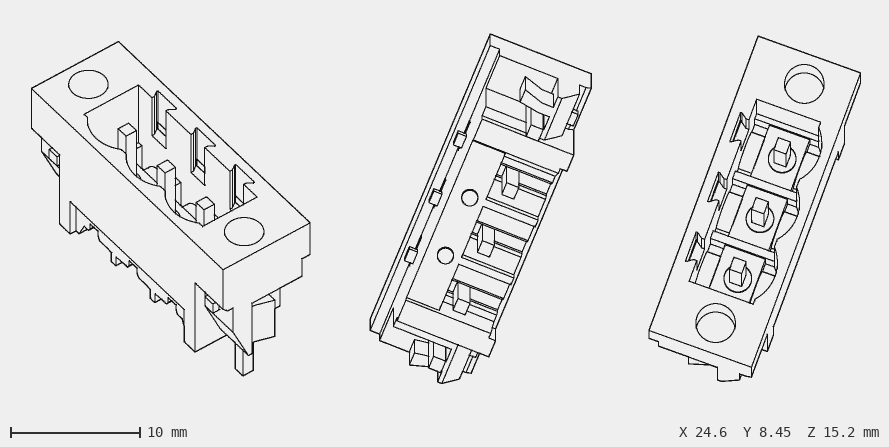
import cadquery as cq


LENGTH = 24.6
DEPTH = 8.45
HEIGHT = 15.2

PITCH = 5.0
PIN_SIZE = 1.0
PIN_Y = 3.8
CONTACT_TOP = HEIGHT - 0.93
CONTACT_XS = [-PITCH, 0, PITCH]
ANCHOR_X = 2 * PITCH
SIDES = [-1, 1]

HOUSING_BOTTOM = 3.2
CENTRE_HALF = 8.7
LOWER_BACK_Y = 7.65
OVERHANG_Z = 11.7

END_BOTTOM = 4.23
END_BOTTOM_FRONT_Y = 2.45
END_FRONT_Y = 0.98
END_SLOPE_TOP = 7.68
END_UNDERCUT_TOP = 10.38
UNDERCUT_CHAMFER = 0.45

RECESS_FRONT_Y = 2.8
RECESS_TOP = 9.8
RECESS_FLOOR_X = ANCHOR_X - PIN_SIZE / 2
FINGER_TOP = 8.25
FINGER_BEND_Y = 3.75
FINGER_TIP_Y = 5.35
FINGER_TIP_OUTER_X = 11.88
FINGER_TIP_INNER_X = 10.82
FINGER_ROOT_OUTER_X = 11.4
FINGER_ROOT_INNER_X = 10.58

ANCHOR_TOP = 9.72
ANCHOR_FRONT_Y = 0.37

HOLE_DIAMETER = 3.05
HOLE_DEPTH = 3.7

CAVITY_HALF = 7.6
CAVITY_FRONT_Y = 1.57
CAVITY_BACK_Y = 6.85
CAVITY_FLOOR = 8.85
CELL_WIDTH = 4.35
CELL_FLOOR = 6.4
SCALLOP_FRONT_Y = 0.75
SADDLE_DIAMETER = 3.03
SEAT_FRONT_Y = 2.31
SEAT_BACK_Y = 5.63
SEAT_TOP = 8.36
COLLAR_DIAMETER = 2.15
COLLAR_HEIGHT = 0.25

SLOT_BOTTOM = 11.02
SLOT_NECK_HALF = 0.89
SLOT_WIDE_HALF = 1.2
SLOT_NECK_END_Y = 7.08
SLOT_FLARE_END_Y = 7.53

PEG_WIDTH = 1.0
PEG_BOTTOM = 9.18
PEG_HEIGHT = 0.75
PEG_LENGTH = 0.7

SHALLOW_HALF = 7.3
SHALLOW_TOP = 6.76
SHALLOW_DEPTH = 0.57
UNDERSIDE_Z = 3.5
CHANNEL_TOP = 4.55
CHANNEL_BACK_Y = 4.92
CHANNEL_BOTTOM_HALF = 6.91
CHANNEL_TOP_HALF = 6.27
NOTCH_TOP = 5.44
NOTCH_HALF = PIN_SIZE / 2
NOTCH_FLARE_Z = 4.9
NOTCH_FLARE_HALF = 0.71
RIB_HALF = 0.3
RIB_ROOT_HALF = 0.71
RIB_ROOT_DROP = 0.1
FOOT_DIAMETER = 1.25
FOOT_Y = 6.15
RIB_XS = [-PITCH / 2, PITCH / 2]


def box(x0, x1, y0, y1, z0, z1):
    """Box between two opposite corners."""
    return cq.Workplane("XY").box(x1 - x0, y1 - y0, z1 - z0, centered=False).translate((x0, y0, z0))


def square_post(x, z0, z1):
    """Upright square bar in the pin row."""
    half = PIN_SIZE / 2
    return box(x - half, x + half, PIN_Y - half, PIN_Y + half, z0, z1)


def front_prism(points, y0, y1):
    """Outline in X and Z, extruded from y0 back to y1."""
    return cq.Workplane("XZ", origin=(0, y0, 0)).polyline(points).close().extrude(y0 - y1)


def outer_shape():
    """Full-depth upper block, centre block and the two end blocks."""
    side_profile = [
        (0, HEIGHT),
        (0, END_UNDERCUT_TOP + UNDERCUT_CHAMFER),
        (UNDERCUT_CHAMFER, END_UNDERCUT_TOP),
        (END_FRONT_Y, END_UNDERCUT_TOP),
        (END_FRONT_Y, END_SLOPE_TOP),
        (END_BOTTOM_FRONT_Y, END_BOTTOM),
        (LOWER_BACK_Y, END_BOTTOM),
        (LOWER_BACK_Y, OVERHANG_Z),
        (DEPTH, OVERHANG_Z),
        (DEPTH, HEIGHT),
    ]
    ends = cq.Workplane("YZ", origin=(-LENGTH / 2, 0, 0)).polyline(side_profile).close().extrude(LENGTH)
    centre = box(-CENTRE_HALF, CENTRE_HALF, 0, LOWER_BACK_Y, HOUSING_BOTTOM, HEIGHT)
    return ends.union(centre)


def side_recess(side):
    """Pocket in an end face, open to the back and below."""
    x0, x1 = sorted([side * RECESS_FLOOR_X, side * LENGTH / 2])
    return box(x0, x1, RECESS_FRONT_Y, LOWER_BACK_Y, END_BOTTOM, RECESS_TOP)


def finger(side):
    """Cranked finger that stands back from the front wall of a side recess."""
    outline = [
        (side * FINGER_ROOT_OUTER_X, RECESS_FRONT_Y),
        (side * FINGER_ROOT_OUTER_X, FINGER_BEND_Y),
        (side * FINGER_TIP_OUTER_X, FINGER_TIP_Y),
        (side * FINGER_TIP_INNER_X, FINGER_TIP_Y),
        (side * FINGER_ROOT_INNER_X, FINGER_BEND_Y),
        (side * FINGER_ROOT_INNER_X, RECESS_FRONT_Y),
    ]
    base = cq.Workplane("XY", origin=(0, 0, END_BOTTOM))
    return base.polyline(outline).close().extrude(FINGER_TOP - END_BOTTOM)


def mounting_holes():
    centres = [(side * ANCHOR_X, PIN_Y) for side in SIDES]
    base = cq.Workplane("XY", origin=(0, 0, HEIGHT - HOLE_DEPTH))
    return base.pushPoints(centres).circle(HOLE_DIAMETER / 2).extrude(HOLE_DEPTH)


def cell_outline(x, floor_z):
    """Cell with a scalloped front, from floor_z up to the top face."""
    half = CELL_WIDTH / 2
    return (
        cq.Workplane("XY", origin=(x, 0, floor_z))
        .moveTo(-half, CAVITY_BACK_Y)
        .lineTo(-half, CAVITY_FRONT_Y)
        .threePointArc((0, SCALLOP_FRONT_Y), (half, CAVITY_FRONT_Y))
        .lineTo(half, CAVITY_BACK_Y)
        .close()
        .extrude(HEIGHT - floor_z)
    )


def cell_floor(x):
    """Rounded saddle along Y, crossed by a raised seat with a collar around the contact."""
    half = CELL_WIDTH / 2
    saddle = (
        cq.Workplane("XZ", origin=(x, 0, CELL_FLOOR))
        .circle(SADDLE_DIAMETER / 2)
        .extrude(-CAVITY_BACK_Y)
    )
    seat = box(x - half, x + half, SEAT_FRONT_Y, SEAT_BACK_Y, CELL_FLOOR, SEAT_TOP)
    collar = (
        cq.Workplane("XY", origin=(x, PIN_Y, SEAT_TOP))
        .circle(COLLAR_DIAMETER / 2)
        .extrude(COLLAR_HEIGHT)
    )
    return saddle.union(seat).union(collar)


def mating_cavity():
    cavity = box(-CAVITY_HALF, CAVITY_HALF, CAVITY_FRONT_Y, CAVITY_BACK_Y, CAVITY_FLOOR, HEIGHT)
    for x in CONTACT_XS:
        cavity = cavity.union(cell_outline(x, CELL_FLOOR).cut(cell_floor(x)))
    return cavity


def coding_slot(x):
    """Dovetail slot that breaks out of the lower back face below the overhang."""
    right_side = [
        (SLOT_NECK_HALF, CAVITY_BACK_Y),
        (SLOT_NECK_HALF, SLOT_NECK_END_Y),
        (SLOT_WIDE_HALF, SLOT_FLARE_END_Y),
        (SLOT_WIDE_HALF, LOWER_BACK_Y),
    ]
    left_side = [(-px, py) for px, py in reversed(right_side)]
    base = cq.Workplane("XY", origin=(x, 0, SLOT_BOTTOM))
    return base.polyline(right_side + left_side).close().extrude(HEIGHT - SLOT_BOTTOM)


def back_peg(x):
    half = PEG_WIDTH / 2
    back_y = LOWER_BACK_Y + PEG_LENGTH
    return box(x - half, x + half, LOWER_BACK_Y, back_y, PEG_BOTTOM, PEG_BOTTOM + PEG_HEIGHT)


def rib(x):
    """Rib between two contact channels, widening slightly at its root."""
    root_z = CHANNEL_TOP - RIB_ROOT_DROP
    right_side = [(RIB_HALF, UNDERSIDE_Z), (RIB_HALF, root_z), (RIB_ROOT_HALF, CHANNEL_TOP)]
    left_side = [(-px, pz) for px, pz in reversed(right_side)]
    outline = [(x + px, pz) for px, pz in right_side + left_side]
    return front_prism(outline, 0, CHANNEL_BACK_Y)


def pin_notch(x):
    """Notch in the channel roof at a contact, flared at its mouth."""
    right_side = [
        (NOTCH_FLARE_HALF, CHANNEL_TOP),
        (NOTCH_HALF, NOTCH_FLARE_Z),
        (NOTCH_HALF, NOTCH_TOP),
    ]
    left_side = [(-px, pz) for px, pz in reversed(right_side)]
    outline = [(x + px, pz) for px, pz in right_side + left_side]
    return front_prism(outline, 0, CHANNEL_BACK_Y)


def underside_relief():
    """Shallow front recess, contact channels and the standoff gap between the side legs."""
    shallow = box(-SHALLOW_HALF, SHALLOW_HALF, 0, SHALLOW_DEPTH, HOUSING_BOTTOM, SHALLOW_TOP)
    channel_outline = [
        (-CHANNEL_BOTTOM_HALF, HOUSING_BOTTOM),
        (-CHANNEL_TOP_HALF, CHANNEL_TOP),
        (CHANNEL_TOP_HALF, CHANNEL_TOP),
        (CHANNEL_BOTTOM_HALF, HOUSING_BOTTOM),
    ]
    channels = front_prism(channel_outline, 0, CHANNEL_BACK_Y)
    for x in RIB_XS:
        channels = channels.cut(rib(x))
    for x in CONTACT_XS:
        channels = channels.union(pin_notch(x))
    gap_height = box(-CENTRE_HALF, CENTRE_HALF, 0, LOWER_BACK_Y, HOUSING_BOTTOM, UNDERSIDE_Z)
    gap = front_prism(channel_outline, 0, LOWER_BACK_Y).intersect(gap_height)
    return shallow.union(channels).union(gap)


def feet():
    """Round standoff feet on the underside, level with the side legs."""
    centres = [(x, FOOT_Y) for x in RIB_XS]
    base = cq.Workplane("XY", origin=(0, 0, HOUSING_BOTTOM))
    return base.pushPoints(centres).circle(FOOT_DIAMETER / 2).extrude(UNDERSIDE_Z - HOUSING_BOTTOM)


def make_contact(x):
    """Straight square contact pin."""
    return square_post(x, 0, CONTACT_TOP)


def make_anchor(side):
    """L-shaped anchor: a leg down to the board and an arm to the front."""
    half = PIN_SIZE / 2
    x = side * ANCHOR_X
    leg = square_post(x, 0, ANCHOR_TOP)
    arm = box(x - half, x + half, ANCHOR_FRONT_Y, PIN_Y, ANCHOR_TOP - PIN_SIZE, ANCHOR_TOP)
    return leg.union(arm)


def make_housing(inserts):
    """Moulded housing with a matching hole for every insert."""
    body = outer_shape().cut(mounting_holes()).cut(mating_cavity()).cut(underside_relief())
    for side in SIDES:
        body = body.cut(side_recess(side)).union(finger(side))
    for x in CONTACT_XS:
        body = body.cut(coding_slot(x)).union(back_peg(x))
    body = body.union(feet())
    for insert in inserts:
        body = body.cut(insert)
    return body


contacts = [make_contact(x) for x in CONTACT_XS]
anchors = [make_anchor(side) for side in SIDES]
housing = make_housing(contacts + anchors)

bodies = [housing, *contacts, *anchors]
result = cq.Compound.makeCompound([body.solids().val() for body in bodies])